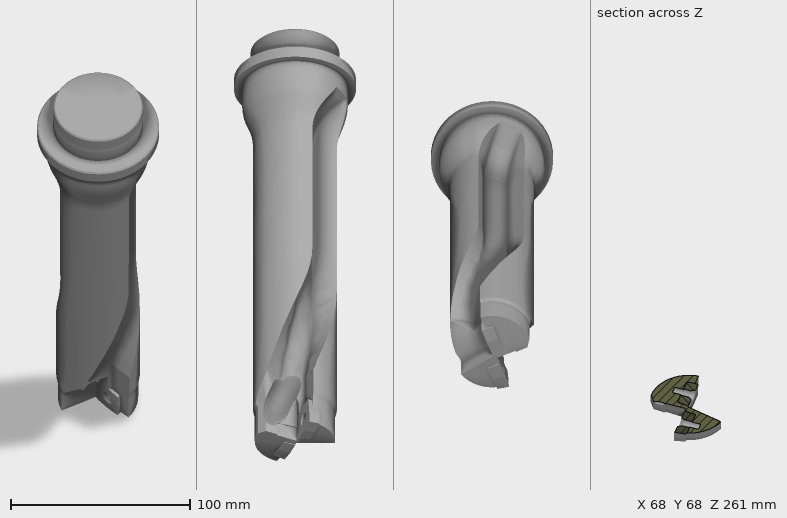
import cadquery as cq
import math

TOTAL_LENGTH = 261.0

SPIGOT_RADIUS = 50.0 / 2
SPIGOT_TOP_RADIUS = 49.5 / 2
SPIGOT_STEP_LOW = 251.0
SPIGOT_STEP_HIGH = 253.5
EDGE_CHAMFER = 0.8
FLANGE_RADIUS = 68.0 / 2
FLANGE_TOP = 243.5
FLANGE_BOTTOM = 236.2
COLLAR_RADIUS = 59.0 / 2
COLLAR_BOTTOM = 226.3
NECK_RADIUS = 47.0 / 2
NECK_TOP = 197.5
NECK_BOTTOM = 192.9
SHAFT_RADIUS = 46.7 / 2
SHAFT_BOTTOM = 23.7
HEAD_RADIUS = 45.0 / 2
HEAD_TOP = 20.5
POINT_RIM_HEIGHT = 3.1
POINT_HEIGHT = 1.0

FLUTE_OPENING_ANGLE = -45.0
FLUTE_FILLET = 1.8
FLUTE_MOUTH_DEPTH = 31.3
FLUTE_LEFT_CORNER = (-7.5, -7.0)
FLUTE_RIGHT_CORNER = (5.2, -8.0)
LEFT_WALL_FLARE = 0.79
RIGHT_WALL_FLARE = 0.4
FLUTE_COUNT = 2

RUNOUT_RADIUS = 29.2
TWIST_START = 119.3
TWIST_BLEND = 31.3
TWIST_RATE = 1.035
TWIST_END = 39.1

INSERT_HALF_WIDTH = 8.0
INSERT_BULGE = 0.65
INSERT_THICKNESS = 6.5
INSERT_RELIEF_ANGLE = 7.0
INSERT_HOLE_DIAMETER = 4.7
INSERT_SINK_DIAMETER = 7.3
SINK_ANGLE = 60.0
SCREW_HOLE_DIAMETER = 4.0
SCREW_HOLE_DEPTH = 5.2
INNER_INSERT_X = 7.5
OUTER_INSERT_X = -14.5
OUTER_INSERT_Y = 0.8
OUTER_INSERT_Z = 9.5
OUTER_INSERT_TILT = -7.0
INSERT_REACH = INSERT_HALF_WIDTH + INSERT_BULGE

RELIEF_DIAMETER = 3.5
CLEARANCE_LEFT = -2.0
CLEARANCE_SIDE_HEIGHT = 17.0
CLEARANCE_PEAK_X = 10.5
CLEARANCE_PEAK_HEIGHT = 31.3
CLEARANCE_DRAFT = 13.0
NOTCH_X = -4.7
NOTCH_BEND_Y = 19.3
NOTCH_RIM_X = 1.0
NOTCH_HEIGHT = 23.5
NOTCH_ROOF_HEIGHT = 15.7
NOTCH_ROOF_TAPER = 20.0
NOTCH_STEP_DEPTH = 0.8
NOTCH_STEP_TOP_Y = 12.5
NOTCH_STEP_HEIGHT = 10.0
GULLET_RING_RADIUS = 21.0
GULLET_TUBE_RADIUS = 7.8
GULLET_FLOOR_X = 1.0
GULLET_Y = 11.5
GULLET_Z = 24.0
GULLET_TILT = 20.0


def turned_blank():
    """Revolved outer form: spigot, flange, collar, shaft and conical point."""
    return (
        cq.Workplane("XZ")
        .moveTo(0, POINT_HEIGHT)
        .lineTo(HEAD_RADIUS, POINT_RIM_HEIGHT)
        .lineTo(HEAD_RADIUS, HEAD_TOP)
        .lineTo(SHAFT_RADIUS, SHAFT_BOTTOM)
        .lineTo(SHAFT_RADIUS, TWIST_START)
        .lineTo(NECK_RADIUS, NECK_BOTTOM)
        .lineTo(NECK_RADIUS, NECK_TOP)
        .spline([(COLLAR_RADIUS, COLLAR_BOTTOM)], tangents=[(0, 1), (0, 1)], includeCurrent=True)
        .lineTo(COLLAR_RADIUS, FLANGE_BOTTOM)
        .lineTo(FLANGE_RADIUS, FLANGE_BOTTOM)
        .lineTo(FLANGE_RADIUS, FLANGE_TOP - EDGE_CHAMFER)
        .lineTo(FLANGE_RADIUS - EDGE_CHAMFER, FLANGE_TOP)
        .lineTo(SPIGOT_RADIUS, FLANGE_TOP)
        .lineTo(SPIGOT_RADIUS, SPIGOT_STEP_LOW)
        .lineTo(SPIGOT_TOP_RADIUS, SPIGOT_STEP_HIGH)
        .lineTo(SPIGOT_TOP_RADIUS, TOTAL_LENGTH - EDGE_CHAMFER)
        .lineTo(SPIGOT_TOP_RADIUS - EDGE_CHAMFER, TOTAL_LENGTH)
        .lineTo(0, TOTAL_LENGTH)
        .close()
        .revolve(360, (0, 0, 0), (0, 1, 0))
    )


def flute_section(height):
    """Closed flute section at the given height: a floor, two flared walls, two floor fillets."""
    left_x, left_y = FLUTE_LEFT_CORNER
    right_x, right_y = FLUTE_RIGHT_CORNER
    left_mouth = left_x - LEFT_WALL_FLARE * (FLUTE_MOUTH_DEPTH + left_y)
    right_mouth = right_x + RIGHT_WALL_FLARE * (FLUTE_MOUTH_DEPTH + right_y)
    sketch = (
        cq.Sketch()
        .polygon([
            (left_mouth, -FLUTE_MOUTH_DEPTH),
            FLUTE_LEFT_CORNER,
            FLUTE_RIGHT_CORNER,
            (right_mouth, -FLUTE_MOUTH_DEPTH),
            (left_mouth, -FLUTE_MOUTH_DEPTH),
        ])
        .vertices("not <Y")
        .fillet(FLUTE_FILLET)
    )
    return cq.Workplane("XY", origin=(0, 0, height)).placeSketch(sketch)


def twist_angle(distance):
    """Flute rotation in degrees at a distance below the twist start: eased in, then uniform."""
    if distance < TWIST_BLEND:
        return TWIST_RATE * distance ** 2 / (2 * TWIST_BLEND)
    return TWIST_RATE * (distance - TWIST_BLEND / 2)


def twist_guide(t):
    """Point of the curve that steers the flute section around the axis."""
    distance = t * (TWIST_START - TWIST_END)
    angle = math.radians(-twist_angle(distance))
    return (
        FLANGE_RADIUS * math.cos(angle),
        FLANGE_RADIUS * math.sin(angle),
        TWIST_START - distance,
    )


def flute_cutter():
    """One flute: curved run-out, straight stretch, twisted stretch and straight end at the tip."""
    floor_depth = -(FLUTE_LEFT_CORNER[1] + FLUTE_RIGHT_CORNER[1]) / 2
    pivot = -(floor_depth + RUNOUT_RADIUS)
    runout = flute_section(NECK_TOP).revolve(90, (0, pivot, 0), (1, pivot, 0))
    straight = flute_section(TWIST_START).extrude(NECK_TOP - TWIST_START)
    axis = cq.Workplane("XZ").moveTo(0, TWIST_START).lineTo(0, TWIST_END)
    guide = cq.Workplane("XY").parametricCurve(twist_guide, N=60)
    twisted = flute_section(TWIST_START).sweep(axis, auxSpine=guide)
    tip = flute_section(0).extrude(TWIST_END)
    tip = tip.rotate((0, 0, 0), (0, 0, 1), -twist_angle(TWIST_START - TWIST_END))
    return [
        piece.rotate((0, 0, 0), (0, 0, 1), FLUTE_OPENING_ANGLE)
        for piece in (runout, straight, twisted, tip)
    ]


def insert_blank():
    """Square insert without its hole, cutting face on Y = 0 facing -Y, centred on the Y axis."""
    corner = INSERT_HALF_WIDTH
    reach = INSERT_REACH
    return (
        cq.Workplane("XZ")
        .polyline([
            (corner, corner), (0, reach), (-corner, corner), (-reach, 0),
            (-corner, -corner), (0, -reach), (corner, -corner), (reach, 0),
        ])
        .close()
        .extrude(-INSERT_THICKNESS, taper=INSERT_RELIEF_ANGLE)
    )


def insert_body():
    """Insert with its countersunk screw hole."""
    return (
        insert_blank()
        .faces("<Y")
        .workplane(origin=(0, 0, 0))
        .cskHole(INSERT_HOLE_DIAMETER, INSERT_SINK_DIAMETER, SINK_ANGLE)
    )


def screw_hole():
    """Hole in the seat under an insert."""
    return (
        cq.Workplane("XZ", origin=(0, INSERT_THICKNESS, 0))
        .circle(SCREW_HOLE_DIAMETER / 2)
        .extrude(-SCREW_HOLE_DEPTH)
    )


def corner_relief():
    """Round relief at the inner upper corner of an insert pocket."""
    return (
        cq.Workplane("XZ")
        .center(-INSERT_HALF_WIDTH, INSERT_HALF_WIDTH)
        .circle(RELIEF_DIAMETER / 2)
        .extrude(-INSERT_THICKNESS)
    )


def place_inner(shape):
    return shape.translate((INNER_INSERT_X, 0, INSERT_REACH))


def place_outer(shape):
    return (
        shape.rotate((0, 0, 0), (0, 1, 0), OUTER_INSERT_TILT)
        .rotate((0, 0, 0), (0, 0, 1), 180)
        .translate((OUTER_INSERT_X, OUTER_INSERT_Y, OUTER_INSERT_Z))
    )


def inner_clearance():
    """Chip space in front of the inner insert, with drafted walls and a slanted upper edge."""
    return (
        cq.Workplane("XZ")
        .polyline([
            (CLEARANCE_LEFT, -HEAD_RADIUS),
            (CLEARANCE_LEFT, CLEARANCE_SIDE_HEIGHT),
            (CLEARANCE_PEAK_X, CLEARANCE_PEAK_HEIGHT),
            (FLANGE_RADIUS, CLEARANCE_PEAK_HEIGHT),
            (FLANGE_RADIUS, -HEAD_RADIUS),
        ])
        .close()
        .extrude(FLANGE_RADIUS, taper=-CLEARANCE_DRAFT)
    )


def outer_notch():
    """Chip space in front of the outer insert, narrowing upward and stepped near the tip."""
    notch = (
        cq.Workplane("XY")
        .polyline([
            (-FLANGE_RADIUS, OUTER_INSERT_Y),
            (NOTCH_X, OUTER_INSERT_Y),
            (NOTCH_X, NOTCH_BEND_Y),
            (NOTCH_RIM_X, SHAFT_RADIUS),
            (NOTCH_RIM_X, FLANGE_RADIUS),
            (-FLANGE_RADIUS, FLANGE_RADIUS),
        ])
        .close()
        .extrude(NOTCH_HEIGHT)
        .faces(">Z")
        .wires()
        .toPending()
        .extrude(NOTCH_ROOF_HEIGHT, taper=NOTCH_ROOF_TAPER)
    )
    step = cq.Workplane("XY").box(
        NOTCH_STEP_DEPTH, NOTCH_STEP_TOP_Y - OUTER_INSERT_Y, NOTCH_STEP_HEIGHT, centered=False
    )
    return notch.union(step.translate((NOTCH_X, OUTER_INSERT_Y, 0)))


def outer_gullet():
    """Hollow left by a round-edged disc above the outer insert."""
    centre_x = GULLET_FLOOR_X - GULLET_RING_RADIUS - GULLET_TUBE_RADIUS
    ring = cq.Solid.makeTorus(
        GULLET_RING_RADIUS, GULLET_TUBE_RADIUS, cq.Vector(0, 0, 0), cq.Vector(0, 1, 0)
    )
    return (
        cq.Workplane(ring)
        .rotate((0, 0, 0), (1, 0, 0), GULLET_TILT)
        .translate((centre_x, GULLET_Y, GULLET_Z))
    )


def drill_body():
    body = turned_blank()
    for index in range(FLUTE_COUNT):
        for piece in flute_cutter():
            body = body.cut(piece.rotate((0, 0, 0), (0, 0, 1), index * 360 / FLUTE_COUNT))
    body = body.cut(inner_clearance()).cut(outer_notch()).cut(outer_gullet())
    for place in (place_inner, place_outer):
        for cutter in (insert_blank(), screw_hole(), corner_relief()):
            body = body.cut(place(cutter))
    return body


drill = drill_body()
inserts = [place(insert_body()) for place in (place_inner, place_outer)]

result = cq.Compound.makeCompound([drill.val(), *[insert.val() for insert in inserts]])